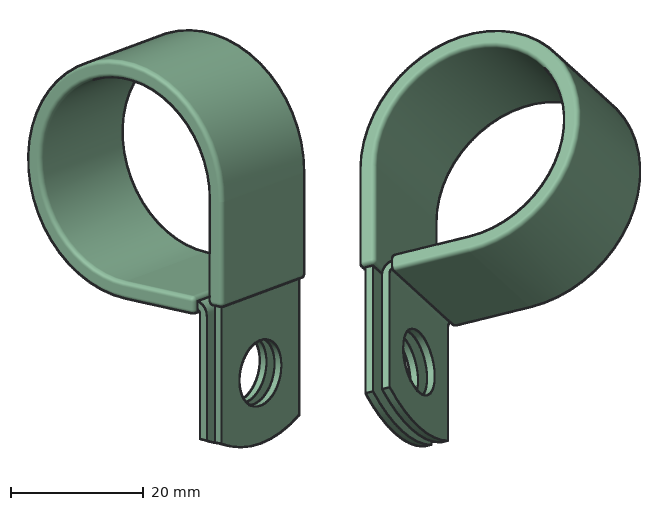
import cadquery as cq
import math

overall_height = 59.15
overall_width = 20.65

loop_radius = 18.7
sleeve_thickness = 2.8
sleeve_drop = 16.7
sleeve_reach = 13.3
sleeve_rounding = 0.7

strap_thickness = 1.3
strap_width = 19.1
tab_pitch = 2.85
bend_inner_radius = 0.65
tip_rise = 2.25
hole_diameter = 10.3
hole_to_tip = 11.1

mid_radius = loop_radius - sleeve_thickness / 2
tab_bottom = loop_radius - overall_height


def band(thickness, drop, reach, width):
    """Three-quarter ring with tangent straight legs, centred on the mid radius."""
    outer = mid_radius + thickness / 2
    inner = mid_radius - thickness / 2
    diagonal = math.sqrt(0.5)
    return (
        cq.Workplane("XZ")
        .moveTo(outer, -drop)
        .lineTo(outer, 0)
        .threePointArc((-outer * diagonal, outer * diagonal), (0, -outer))
        .lineTo(reach, -outer)
        .lineTo(reach, -inner)
        .lineTo(0, -inner)
        .threePointArc((-inner * diagonal, inner * diagonal), (inner, 0))
        .lineTo(inner, -drop)
        .close()
        .extrude(width / 2, both=True)
    )


def cushion_sleeve():
    """Sleeve with every rim and end edge rounded."""
    body = band(sleeve_thickness, sleeve_drop, sleeve_reach, overall_width)
    drop_end = cq.NearestToPointSelector((mid_radius, 0, -sleeve_drop))
    reach_end = cq.NearestToPointSelector((sleeve_reach, 0, -mid_radius))
    rounded_edges = body.faces("<Y or >Y").edges()
    rounded_edges = rounded_edges.add(body.faces(drop_end).edges("|Y"))
    rounded_edges = rounded_edges.add(body.faces(reach_end).edges("|Y"))
    return rounded_edges.fillet(sleeve_rounding)


def bent_tab():
    """Tab that turns down from the end of the horizontal leg."""
    outer_x = mid_radius - tab_pitch + strap_thickness / 2
    inner_x = outer_x - strap_thickness
    top = -mid_radius + strap_thickness / 2
    bend_outer_radius = bend_inner_radius + strap_thickness
    bend_x = outer_x - bend_outer_radius
    bend_z = top - bend_outer_radius
    return (
        cq.Workplane("XZ")
        .moveTo(0, top)
        .lineTo(bend_x, top)
        .radiusArc((outer_x, bend_z), bend_outer_radius)
        .lineTo(outer_x, tab_bottom)
        .lineTo(inner_x, tab_bottom)
        .lineTo(inner_x, bend_z)
        .radiusArc((bend_x, top - strap_thickness), -bend_inner_radius)
        .lineTo(0, top - strap_thickness)
        .close()
        .extrude(strap_width / 2, both=True)
    )


def tab_envelope():
    """Side shape shared by both tabs: curved tip, square above, round bolt hole."""
    half_width = strap_width / 2
    side_bottom = tab_bottom + tip_rise
    return (
        cq.Workplane("YZ")
        .moveTo(-half_width, loop_radius)
        .lineTo(-half_width, side_bottom)
        .threePointArc((0, tab_bottom), (half_width, side_bottom))
        .lineTo(half_width, loop_radius)
        .close()
        .moveTo(0, tab_bottom + hole_to_tip)
        .circle(hole_diameter / 2)
        .extrude(loop_radius)
    )


def straight_tab():
    """Tab that continues straight down from the vertical leg."""
    tab_height = -tab_bottom
    return (
        cq.Workplane("XY")
        .box(strap_thickness, strap_width, tab_height)
        .translate((mid_radius, 0, tab_bottom + tab_height / 2))
    )


tabs = bent_tab().union(straight_tab()).intersect(tab_envelope())
result = cushion_sleeve().union(tabs)